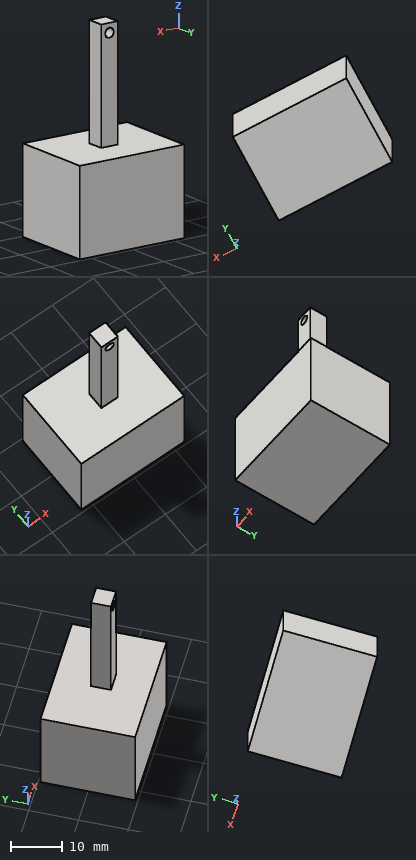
import cadquery as cq

head_length = 25.0
head_width = 19.0
head_height = 19.0

handle_side = 4.0
handle_height = 25.0

hole_diameter = 2.0
hole_drop = 2.0

total_height = head_height + handle_height


def make_head():
    """Rectangular block resting on the XY plane."""
    return cq.Workplane("XY").box(head_length, head_width, head_height, centered=(True, True, False))


def make_handle():
    """Square bar rising from the top face of the head."""
    return (
        cq.Workplane("XY")
        .workplane(offset=head_height)
        .rect(handle_side, handle_side)
        .extrude(handle_height)
    )


def make_cross_hole():
    """Cylinder that cuts the handle from front to back near its free end."""
    return (
        cq.Workplane("XZ")
        .center(0, total_height - hole_drop)
        .circle(hole_diameter / 2)
        .extrude(handle_side, both=True)
    )


result = make_head().union(make_handle()).cut(make_cross_hole())